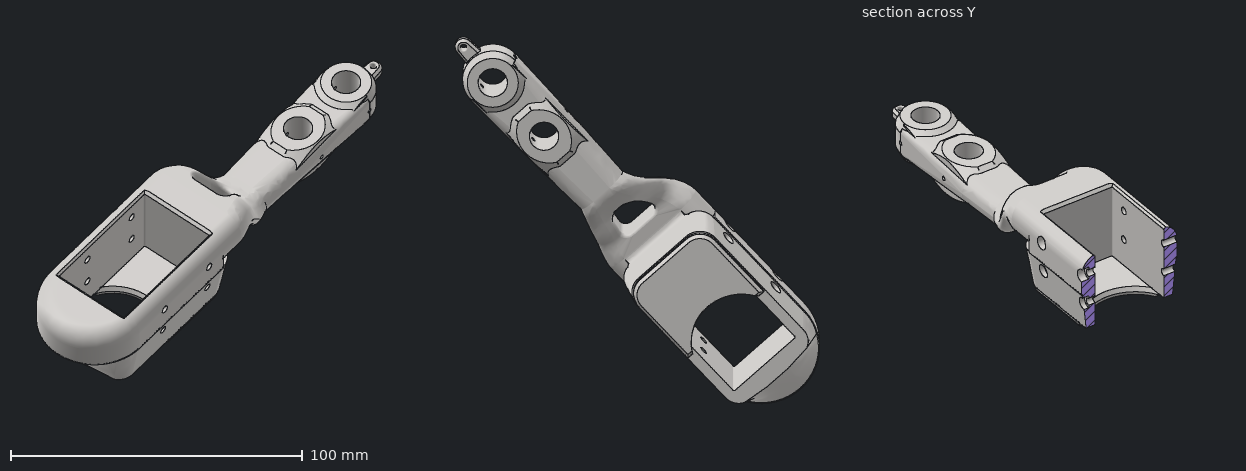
import cadquery as cq
import math

POD_WIDTH = 40.0
POD_HALF = POD_WIDTH / 2
POD_TOP = 32.5
POD_ROUND = 7.0
POD_BACK = 65.2
BELT_Z = 17.4

TUB_BOTTOM = 2.8
TUB_TOP_HALF = 19.6
TUB_BOTTOM_HALF = 18.1
TUB_TOP_FRONT = POD_HALF - TUB_TOP_HALF
TUB_BOTTOM_FRONT = 11.6
TUB_TOP_BACK = 72.6
TUB_BOTTOM_BACK = 70.2
TUB_BACK_CORNER = 7.0
TUB_TOP_SHOULDER_X = 17.4
TUB_TOP_SHOULDER = (
    TUB_TOP_SHOULDER_X,
    POD_HALF - math.sqrt(TUB_TOP_HALF**2 - TUB_TOP_SHOULDER_X**2),
)
TUB_BOTTOM_SHOULDER = (14.6, 12.8)
TUB_BOTTOM_SIDE_START = 18.4
TUB_CORNER_BULGE = (0.72, 0.4)

FLOOR_INSET = 0.4
FLOOR_EDGE = 1.2
FLOOR_FRONT = 38.0
OPENING_Y = 29.8
OPENING_RADIUS = 17.4
OPENING_FLARE = 1.0
OPENING_FLARE_START = 1.2

POCKET_WIDTH = 28.6
POCKET_FRONT = 18.2
POCKET_BACK = 64.6
POCKET_RIM = 1.1
POCKET_CORNER = 0.5

SCREW_YS = (33.6, 57.6)
SCREW_ZS = (13.5, 25.4)
SCREW_DIAMETER = 2.7
SCREW_HEAD_DIAMETER = 4.8
SCREW_HEAD_DEPTH = 3.0

BOSS_HEIGHT = 15.0
ARM_Z = BOSS_HEIGHT / 2
ARM_THICKNESS = 12.2
ARM_TOP = ARM_Z + ARM_THICKNESS / 2
ARM_HALF = 9.8
ARM_START = 101.0
SIDE_ROUNDNESS = 0.495
ROUND_END = 119.0
END_BOSS_Y = 156.2
MIDDLE_BOSS_Y = 130.2
HEAD_RADIUS = 10.4
ARM_FAR_HALF = 10.5
HEAD_ROUND = 2.0
BORE_DIAMETER = 10.0
BOSS_TOP_RADIUS = 8.75
MIDDLE_BOSS_HALF_LENGTH = 9.8
MIDDLE_BOSS_END_FLAT = 6.0
BOSS_SKIRT_DEPTH = 5.0
BOSS_SKIRT_ANGLE = 57.0
BOSS_SKIRT_HALF = 9.2
HEAD_RIM_HEIGHT = 3.3
PIN_DIAMETER = 1.5

TIP_Y = 174.0
TAB_RADIUS = 3.0
TAB_THICKNESS = 4.2
TAB_HOLE_DIAMETER = 2.0
TAB_EDGE = 1.0
TAB_HOLE_ROUND = 0.6
TAB_ROOT_HALF = 3.5
TAB_ROOT_Y = 164.0

NECK_END = 75.2
NECK_FILLET = 2.5
JOINT_MARGIN = 0.5
NECK_SECTIONS = (
    (ARM_START, ARM_Z - ARM_THICKNESS / 2, ARM_TOP, ARM_HALF),
    (98.0, 1.8, 14.0, 10.9),
    (94.0, 4.3, 17.0, 12.6),
    (88.0, 11.8, 25.4, 15.5),
    (82.8, 16.6, 30.6, 17.8),
    (79.0, 17.2, 32.1, 19.2),
    (NECK_END, BELT_Z, POD_TOP, POD_HALF),
)

WINDOW_TOP = 92.6
WINDOW_SHOULDER = (5.2, 89.6)
WINDOW_BOTTOM = 80.5
WINDOW_BOTTOM_HALF = 8.4
WINDOW_CORNER = 2.5
WINDOW_RIM = 1.2
WINDOW_BOX = (
    (-POD_HALF / 2, WINDOW_BOTTOM - WINDOW_RIM, 0),
    (POD_HALF / 2, WINDOW_TOP + WINDOW_RIM, POD_TOP),
)


def section_wire(y, low, high, half, corner):
    """Closed wire of a rounded rectangle in the XZ plane at the given Y."""
    reach = corner * (1 - math.sqrt(0.5))
    plane = cq.Workplane(cq.Plane((0, y, 0), (1, 0, 0), (0, -1, 0)))
    return (
        plane.moveTo(half - corner, low)
        .threePointArc((half - reach, low + reach), (half, low + corner))
        .lineTo(half, high - corner)
        .threePointArc((half - reach, high - reach), (half - corner, high))
        .lineTo(corner - half, high)
        .threePointArc((reach - half, high - reach), (-half, high - corner))
        .lineTo(-half, low + corner)
        .threePointArc((reach - half, low + reach), (corner - half, low))
        .close()
        .val()
    )


def skin(sections, ruled=False):
    """Solid skinned over a row of cross-sections along Y."""
    wires = [section_wire(*section) for section in sections]
    return cq.Workplane(cq.Solid.makeLoft(wires, ruled))


def round_sided(y, low, high, half):
    """Cross-section whose sides are almost full half-rounds."""
    return (y, low, high, half, min(POD_ROUND, SIDE_ROUNDNESS * (high - low)))


def tub_wire(z, half, front, back, shoulder, side_start):
    """Closed plan outline of the tub at height z, with a bowed front and round corners.

    The front bow runs between the shoulders; its corners end on the sides at side_start.
    """
    rear_corner = TUB_BACK_CORNER
    rear_reach = rear_corner * (1 - math.sqrt(0.5))
    shoulder_x, shoulder_y = shoulder
    corner_x, corner_y = TUB_CORNER_BULGE
    bend_x = shoulder_x + corner_x * (half - shoulder_x)
    bend_y = shoulder_y + corner_y * (side_start - shoulder_y)
    return (
        cq.Workplane("XY", origin=(0, 0, z))
        .moveTo(-shoulder_x, shoulder_y)
        .threePointArc((0, front), shoulder)
        .threePointArc((bend_x, bend_y), (half, side_start))
        .lineTo(half, back - rear_corner)
        .threePointArc((half - rear_reach, back - rear_reach), (half - rear_corner, back))
        .lineTo(rear_corner - half, back)
        .threePointArc((rear_reach - half, back - rear_reach), (-half, back - rear_corner))
        .lineTo(-half, side_start)
        .threePointArc((-bend_x, bend_y), (-shoulder_x, shoulder_y))
        .close()
        .val()
    )


def upper_pod():
    """Straight walls with a half-round nose and a large rounded top edge."""
    body = (
        cq.Workplane("XY", origin=(0, 0, BELT_Z))
        .moveTo(-POD_HALF, POD_BACK)
        .lineTo(-POD_HALF, POD_HALF)
        .threePointArc((0, 0), (POD_HALF, POD_HALF))
        .lineTo(POD_HALF, POD_BACK)
        .close()
        .extrude(POD_TOP - BELT_Z)
    )
    return body.faces(">Z").edges("not >Y").fillet(POD_ROUND)


def tub():
    """Tapered lower pod, its nose sloping back to a squarer bottom."""
    top = tub_wire(
        BELT_Z, TUB_TOP_HALF, TUB_TOP_FRONT, TUB_TOP_BACK, TUB_TOP_SHOULDER, POD_HALF
    )
    bottom = tub_wire(
        TUB_BOTTOM,
        TUB_BOTTOM_HALF,
        TUB_BOTTOM_FRONT,
        TUB_BOTTOM_BACK,
        TUB_BOTTOM_SHOULDER,
        TUB_BOTTOM_SIDE_START,
    )
    return cq.Workplane(cq.Solid.makeLoft([bottom, top], True))


def floor_plate():
    """Plate closing the back of the tub, ending on the round opening."""
    half_width = TUB_BOTTOM_HALF - FLOOR_INSET
    length = TUB_BOTTOM_BACK - FLOOR_INSET - FLOOR_FRONT
    plate = (
        cq.Workplane("XY", origin=(0, FLOOR_FRONT, 0))
        .box(2 * half_width, length, TUB_BOTTOM, centered=(True, False, False))
        .edges("|Z and >Y")
        .fillet(TUB_BACK_CORNER)
        .faces("<Z")
        .edges()
        .chamfer(FLOOR_EDGE)
    )
    opening = cq.Workplane("XY", origin=(0, OPENING_Y, 0)).circle(OPENING_RADIUS).extrude(TUB_BOTTOM)
    flare = cq.Workplane(
        cq.Solid.makeCone(
            OPENING_RADIUS,
            OPENING_RADIUS + OPENING_FLARE,
            TUB_BOTTOM - OPENING_FLARE_START,
            pnt=cq.Vector(0, OPENING_Y, OPENING_FLARE_START),
        )
    )
    return plate.cut(opening).cut(flare)


def pocket():
    """Rectangular well with a bevelled rim, reaching down to the floor plate."""
    length = POCKET_BACK - POCKET_FRONT
    middle = (POCKET_BACK + POCKET_FRONT) / 2
    well = (
        cq.Workplane("XY", origin=(0, middle, TUB_BOTTOM))
        .rect(POCKET_WIDTH, length)
        .extrude(POD_TOP - TUB_BOTTOM)
        .edges("|Z")
        .fillet(POCKET_CORNER)
    )
    rim = (
        cq.Workplane("XY", origin=(0, middle, POD_TOP - POCKET_RIM))
        .rect(POCKET_WIDTH, length)
        .workplane(offset=POCKET_RIM)
        .rect(POCKET_WIDTH + 2 * POCKET_RIM, length + 2 * POCKET_RIM)
        .loft(ruled=True)
    )
    return well.union(rim)


def screw_holes():
    """Four cross holes, counterbored on the -X side."""
    points = [(y, z) for y in SCREW_YS for z in SCREW_ZS]
    side = cq.Workplane("YZ", origin=(-POD_HALF, 0, 0)).pushPoints(points)
    shanks = side.circle(SCREW_DIAMETER / 2).extrude(POD_WIDTH)
    heads = side.circle(SCREW_HEAD_DIAMETER / 2).extrude(SCREW_HEAD_DEPTH)
    return shanks.union(heads)


def neck():
    """S-shaped blend that widens from the arm to the pod."""
    blend = skin([round_sided(*section) for section in NECK_SECTIONS])
    last = round_sided(*NECK_SECTIONS[-1])
    root = skin([last, (POD_BACK - POD_ROUND, *last[1:])], True)
    blend = blend.cut(window())
    rims = blend.edges(cq.selectors.BoxSelector(*WINDOW_BOX, boundingbox=True)).edges("not |Z")
    return rims.fillet(WINDOW_RIM).union(root)


def window():
    """Rounded triangular prism through the neck."""
    shoulder_x, shoulder_y = WINDOW_SHOULDER
    return (
        cq.Workplane("XY")
        .moveTo(-WINDOW_BOTTOM_HALF, WINDOW_BOTTOM)
        .lineTo(WINDOW_BOTTOM_HALF, WINDOW_BOTTOM)
        .lineTo(shoulder_x, shoulder_y)
        .threePointArc((0, WINDOW_TOP), (-shoulder_x, shoulder_y))
        .close()
        .extrude(POD_TOP)
        .edges("|Z and <Y")
        .fillet(WINDOW_CORNER)
    )


def arm():
    """Bar with round sides that flatten towards the head."""
    low = ARM_Z - ARM_THICKNESS / 2
    near = round_sided(ARM_START, low, ARM_TOP, ARM_HALF)
    middle = round_sided(ROUND_END, low, ARM_TOP, ARM_FAR_HALF)
    far = (END_BOSS_Y, low, ARM_TOP, ARM_FAR_HALF, HEAD_ROUND)
    return skin([near, middle], True).union(skin([middle, far], True))


def skirt(outline):
    """Pad across the arm, spreading below the outline of both end faces.

    The outline is a wire on the top face; the pad is narrower than the arm.
    """
    upper = outline.extrude(-BOSS_SKIRT_DEPTH, taper=-BOSS_SKIRT_ANGLE)
    lower = upper.mirror("XY", (0, 0, ARM_Z))
    limit = cq.Workplane("XY").box(
        2 * BOSS_SKIRT_HALF, 2 * TIP_Y, BOSS_HEIGHT, centered=(True, True, False)
    )
    return upper.union(lower).intersect(limit)


def end_boss():
    """Round head with sloping rims, and skirts spreading onto the arm behind it."""
    head = (
        cq.Workplane("XY", origin=(0, END_BOSS_Y, 0))
        .circle(HEAD_RADIUS)
        .extrude(BOSS_HEIGHT)
        .faces("<Z or >Z")
        .chamfer(HEAD_RIM_HEIGHT, HEAD_RADIUS - BOSS_TOP_RADIUS)
    )
    outline = cq.Workplane("XY", origin=(0, END_BOSS_Y, BOSS_HEIGHT)).circle(BOSS_TOP_RADIUS)
    behind = cq.Workplane("XY").box(
        POD_WIDTH, END_BOSS_Y, BOSS_HEIGHT, centered=(True, False, False)
    )
    return head.union(skirt(outline).intersect(behind))


def middle_boss():
    """Oval pad on both faces of the arm, its ends cut straight."""
    half_flat = MIDDLE_BOSS_END_FLAT / 2
    half_length = MIDDLE_BOSS_HALF_LENGTH
    outline = (
        cq.Workplane("XY", origin=(0, MIDDLE_BOSS_Y, BOSS_HEIGHT))
        .moveTo(-half_flat, -half_length)
        .lineTo(half_flat, -half_length)
        .threePointArc((BOSS_TOP_RADIUS, 0), (half_flat, half_length))
        .lineTo(-half_flat, half_length)
        .threePointArc((-BOSS_TOP_RADIUS, 0), (-half_flat, -half_length))
        .close()
    )
    return skirt(outline)


def tab():
    """Small bevelled eye on the arm's tip, widening to its root."""
    eye_y = TIP_Y - TAB_RADIUS
    blank = (
        cq.Workplane("XY", origin=(0, 0, ARM_Z - TAB_THICKNESS / 2))
        .moveTo(-TAB_ROOT_HALF, TAB_ROOT_Y)
        .lineTo(-TAB_RADIUS, eye_y)
        .threePointArc((0, TIP_Y), (TAB_RADIUS, eye_y))
        .lineTo(TAB_ROOT_HALF, TAB_ROOT_Y)
        .close()
        .extrude(TAB_THICKNESS)
        .faces("<Z or >Z")
        .chamfer(TAB_EDGE)
    )
    hole = cq.Workplane("XY", origin=(0, eye_y, 0)).circle(TAB_HOLE_DIAMETER / 2).extrude(BOSS_HEIGHT)
    rims = blank.cut(hole).edges(cq.selectors.RadiusNthSelector(0))
    return rims.fillet(TAB_HOLE_ROUND)


def arm_holes():
    """Bores through both bosses, each crossed by a pin hole over the arm's width."""
    holes = cq.Workplane("XY")
    for y in (END_BOSS_Y, MIDDLE_BOSS_Y):
        bore = cq.Workplane("XY", origin=(0, y, 0)).circle(BORE_DIAMETER / 2).extrude(BOSS_HEIGHT)
        pin = cq.Workplane("YZ", origin=(-POD_HALF, y, ARM_Z)).circle(PIN_DIAMETER / 2).extrude(POD_WIDTH)
        holes = holes.add(bore).add(pin)
    return holes.combine()


def pod_with_neck():
    """Pod and neck, with a fillet where the tub's back meets the neck's underside."""
    joined = upper_pod().union(tub()).union(floor_plate()).union(neck())
    joint = cq.selectors.BoxSelector(
        (-TUB_TOP_HALF, TUB_TOP_BACK - JOINT_MARGIN, BELT_Z - JOINT_MARGIN),
        (TUB_TOP_HALF, TUB_TOP_BACK + JOINT_MARGIN, BELT_Z + JOINT_MARGIN),
    )
    return joined.edges(joint).fillet(NECK_FILLET)


def whole_arm():
    """Arm with its bosses and tip tab."""
    return arm().union(end_boss()).union(middle_boss()).union(tab())


result = pod_with_neck().union(whole_arm()).cut(pocket()).cut(screw_holes()).cut(arm_holes())